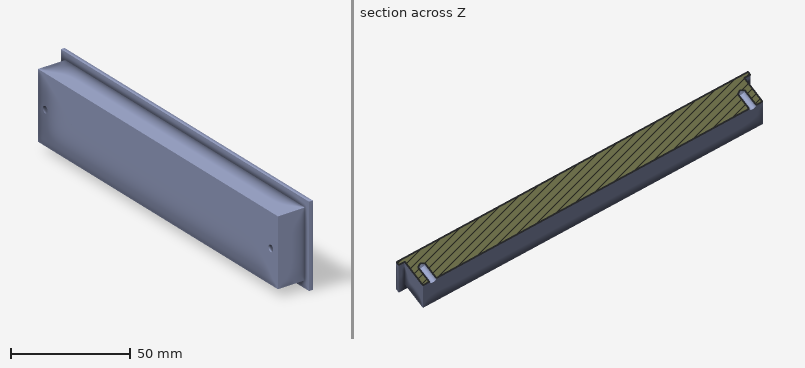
import cadquery as cq
import math

flange_length = 176.0
flange_height = 42.0
flange_thickness = 2.0

total_depth = 16.0
body_length = 170.0
body_height = 34.3
body_depth = total_depth - flange_thickness

hole_diameter = 3.3
hole_spacing = 160.0
hole_depth = 8.8
drill_point_angle = 118.0


def screw_hole(x):
    """Cutter for one blind hole, revolved about its axis along Y."""
    radius = hole_diameter / 2
    point_depth = radius / math.tan(math.radians(drill_point_angle / 2))
    return (
        cq.Workplane("XY", origin=(x, -total_depth, 0))
        .polyline([(0, 0), (radius, 0), (radius, hole_depth), (0, hole_depth + point_depth)])
        .close()
        .revolve(360, (0, 0, 0), (0, 1, 0))
    )


flange = cq.Workplane("XZ").rect(flange_length, flange_height).extrude(flange_thickness)

body = (
    cq.Workplane("XZ", origin=(0, -flange_thickness, 0))
    .rect(body_length, body_height)
    .extrude(body_depth)
)

result = flange.union(body)
for side in (-1, 1):
    result = result.cut(screw_hole(side * hole_spacing / 2))